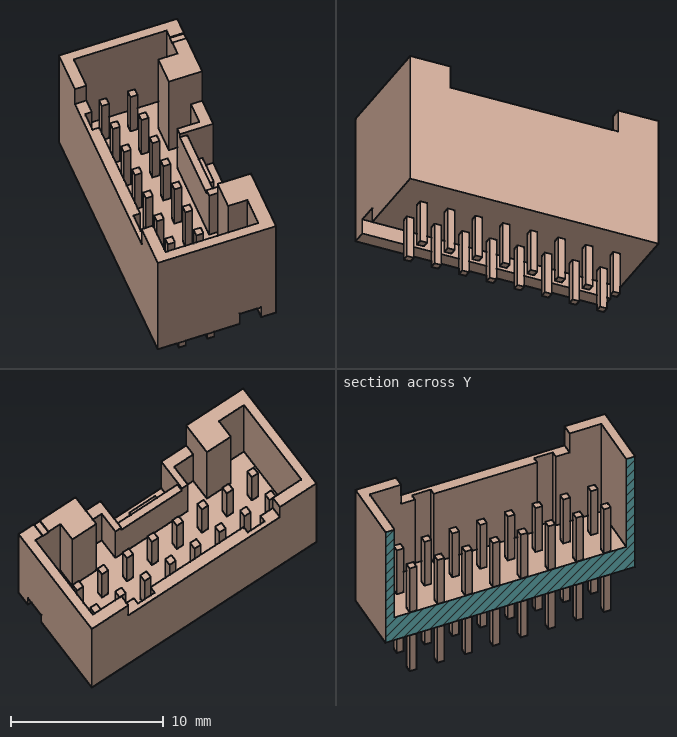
import cadquery as cq

LENGTH = 18.0
WIDTH = 8.3
HEIGHT = 9.6
HALF_L = LENGTH / 2
HALF_W = WIDTH / 2

END_WALL = 0.65
FRONT_WALL = 0.8
REAR_WALL = 1.0
FLOOR_TOP = 2.0
CAVITY_FRONT = -HALF_W + FRONT_WALL

POST_FACE = 1.8
POST_OUTER = 6.35
POST_INNER = 4.43
LIP_OUTER = 2.9
POCKET_REAR = HALF_W - 0.8

FRONT_CUT_DEPTH = 1.65
FRONT_CUT_TOP = HEIGHT - FRONT_CUT_DEPTH
REAR_CUT_DEPTH = 3.27
REAR_CUT_TOP = HEIGHT - REAR_CUT_DEPTH
FRONT_CUT_HALF = 6.07

KEY_OFFSET = 4.4
KEY_WIDTH = 1.35
KEY_DEPTH = 0.47

LATCH_HALF = 2.43
RAIL_THICKNESS = 0.52
RAIL_DROP = 0.35
RAIL_REAR = POST_FACE + RAIL_THICKNESS
RAIL_TOP = REAR_CUT_TOP - RAIL_DROP
CATCH_WIDTH = 2.06
CATCH_DEPTH = 0.53
CATCH_DROP = 1.0

MARK_LEFT = -7.77
MARK_WIDTH = 0.47
MARK_DEPTH = 0.1

CHANNEL_FRONT = 1.6
CHANNEL_REAR = 3.1
CHANNEL_HEIGHT = 1.1

PIN_ROWS = 2
PIN_COLUMNS = 8
PITCH = 2.0
PIN_SIZE = 0.5
PIN_TAIL = 3.1
PIN_TIP = 5.8
FRONT_ROW_Y = -1.75


def block(x0, x1, y0, y1, z0, z1):
    """Axis-aligned box between two opposite corners."""
    return cq.Workplane("XY").box(x1 - x0, y1 - y0, z1 - z0, centered=False).translate((x0, y0, z0))


def cavity():
    """Open-topped cavity, leaving the guide posts and latch wall standing at the rear."""
    inner = HALF_L - END_WALL
    space = block(-inner, inner, CAVITY_FRONT, POST_FACE, FLOOR_TOP, HEIGHT)
    for side in (-1, 1):
        spans = (
            (POST_OUTER, inner, HALF_W - REAR_WALL),
            (LIP_OUTER, POST_INNER, POCKET_REAR),
        )
        for near, far, rear in spans:
            x0, x1 = sorted((side * near, side * far))
            space = space.union(block(x0, x1, POST_FACE, rear, FLOOR_TOP, HEIGHT))
        key_x = side * KEY_OFFSET
        space = space.union(
            block(
                key_x - KEY_WIDTH / 2,
                key_x + KEY_WIDTH / 2,
                CAVITY_FRONT - KEY_DEPTH,
                CAVITY_FRONT,
                FLOOR_TOP,
                HEIGHT,
            )
        )
    return space


def wall_cuts():
    """Material removed to lower the middle of the front and rear walls."""
    front = block(-FRONT_CUT_HALF, FRONT_CUT_HALF, -HALF_W, CAVITY_FRONT, FRONT_CUT_TOP, HEIGHT)
    rear = block(-POST_INNER, POST_INNER, POST_FACE, HALF_W, REAR_CUT_TOP, HEIGHT)
    return front.union(rear)


def latch_recess():
    """Recess behind the latch rail, with the rail lowered and the catch left standing."""
    recess = block(-LATCH_HALF, LATCH_HALF, RAIL_REAR, HALF_W, FLOOR_TOP, HEIGHT)
    above_rail = block(-LATCH_HALF, LATCH_HALF, POST_FACE, RAIL_REAR, RAIL_TOP, HEIGHT)
    catch = block(
        -CATCH_WIDTH / 2,
        CATCH_WIDTH / 2,
        RAIL_REAR,
        RAIL_REAR + CATCH_DEPTH,
        FLOOR_TOP,
        RAIL_TOP - CATCH_DROP,
    )
    return recess.cut(catch).union(above_rail)


def pin_one_mark():
    """Shallow groove across the top of the rear wall."""
    return block(
        MARK_LEFT,
        MARK_LEFT + MARK_WIDTH,
        HALF_W - REAR_WALL,
        HALF_W,
        HEIGHT - MARK_DEPTH,
        HEIGHT,
    )


def underside_channel():
    """Rectangular channel running the full length of the underside."""
    return block(-HALF_L, HALF_L, CHANNEL_FRONT, CHANNEL_REAR, 0, CHANNEL_HEIGHT)


def pins():
    """Two rows of square pins passing through the floor."""
    first_x = -PITCH * (PIN_COLUMNS - 1) / 2
    centres = []
    for row in range(PIN_ROWS):
        for column in range(PIN_COLUMNS):
            centres.append((first_x + column * PITCH, FRONT_ROW_Y + row * PITCH))
    return (
        cq.Workplane("XY")
        .workplane(offset=-PIN_TAIL)
        .pushPoints(centres)
        .rect(PIN_SIZE, PIN_SIZE)
        .extrude(PIN_TAIL + PIN_TIP)
    )


housing = block(-HALF_L, HALF_L, -HALF_W, HALF_W, 0, HEIGHT)
for removed in (cavity(), wall_cuts(), latch_recess(), pin_one_mark(), underside_channel()):
    housing = housing.cut(removed)

result = housing.union(pins())